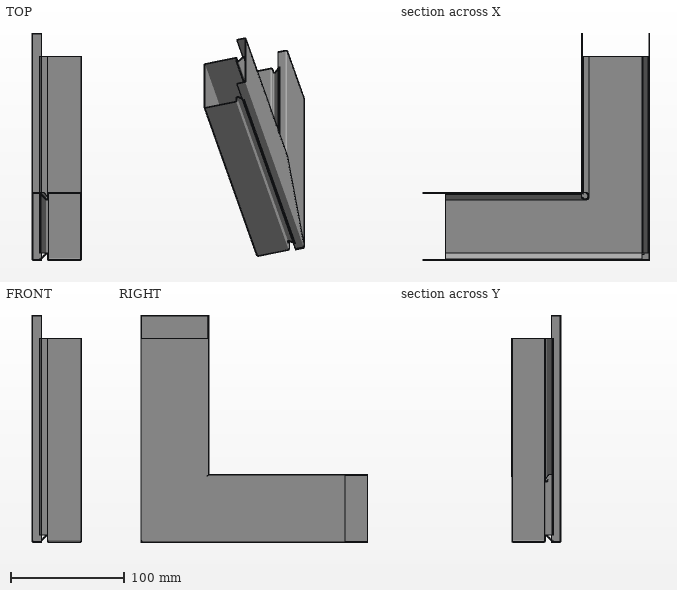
import cadquery as cq
import math

leg_length = 200.0
leg_width = 60.0
total_depth = 43.6
sheet = 0.8

cap_depth = 8.5
cap_bend = 1.6

core_length = 180.0
core_depth = 30.0
core_bend = 1.6
corner_bend = 2.5
core_front = total_depth - core_depth

wing_reach = 6.6
wing_bend = 0.6
wing_turn = math.radians(135)
tab_tip = 6.8
lip_width = wing_reach - wing_bend - sheet

relief_front = 10.6
relief_length = 3.8


def l_prism(x_start, x_end, inset, length):
    """L-shaped block whose long sides are moved inward by inset."""
    low = inset
    high = leg_width - inset
    return (
        cq.Workplane("YZ", origin=(x_start, 0, 0))
        .polyline([(low, low), (length, low), (length, high), (high, high), (high, length), (low, length)])
        .close()
        .extrude(x_end - x_start)
    )


def rounded_l_prism(x_start, x_end, inset, length):
    """L-shaped block with its outer corner and all its lengthwise edges rounded."""
    block = l_prism(x_start, x_end, inset, length)
    corner = cq.selectors.NearestToPointSelector(((x_start + x_end) / 2, inset, inset))
    block = block.edges(corner).fillet(corner_bend - inset)
    return block.faces("<X or >X").edges("not(>Y or >Z)").fillet(core_bend - inset)


def rounded_bar(inset):
    """Upright cap blank with its two -X edges rounded; its +X side stays at the flange ends."""
    width = leg_width - 2 * inset
    return (
        cq.Workplane("XY", origin=(inset, inset, 0))
        .box(cap_depth - inset, width, leg_length, centered=False)
        .edges("|Z and <X")
        .fillet(cap_bend - inset)
    )


def mitred(leg):
    """Part of an upright leg above the mitre plane Y = Z."""
    upper_side = (
        cq.Workplane("YZ")
        .polyline([(0, 0), (leg_length, leg_length), (0, leg_length)])
        .close()
        .extrude(total_depth)
    )
    return leg.intersect(upper_side)


def to_other_leg(leg):
    """Mirror an upright leg across the mitre plane Y = Z."""
    return leg.mirror(cq.Vector(0, 1, -1))


def make_cap():
    """One mitred U-channel standing along +Z."""
    return mitred(rounded_bar(0).cut(rounded_bar(sheet)))


def make_channel():
    """L-shaped channel with a mouth between two lips on its -X side."""
    outside = rounded_l_prism(core_front, total_depth, 0, core_length)
    inside = rounded_l_prism(core_front + sheet, total_depth - sheet, sheet, leg_length)
    mouth = l_prism(core_front, core_front + sheet, lip_width, leg_length)
    return outside.cut(inside).cut(mouth)


def wing_profile():
    """Wing section of the upright leg on its outer side."""
    centre_x = core_front - wing_bend
    half_turn = wing_turn / 2

    def on_bend(radius, angle):
        return (centre_x + radius * math.cos(angle), lip_width + radius * math.sin(angle))

    def slope_foot(radius, height):
        bend_x, bend_y = on_bend(radius, wing_turn)
        return (bend_x - (bend_y - height), height)

    inner = wing_bend
    outer = inner + sheet
    return (
        cq.Workplane("XY")
        .moveTo(*on_bend(outer, 0))
        .threePointArc(on_bend(outer, half_turn), on_bend(outer, wing_turn))
        .lineTo(*slope_foot(outer, 2 * sheet))
        .lineTo(tab_tip, 2 * sheet)
        .lineTo(tab_tip, sheet)
        .lineTo(*slope_foot(inner, sheet))
        .lineTo(*on_bend(inner, wing_turn))
        .threePointArc(on_bend(inner, half_turn), on_bend(inner, 0))
        .close()
    )


def make_outer_wing():
    """Outer wing of the upright leg, cut square where the bend of the other leg begins."""
    return wing_profile().extrude(core_length - wing_reach).translate((0, 0, wing_reach))


def make_inner_wing():
    """Inner wing of the upright leg, with the corner relief at its lower end."""
    wing = wing_profile().extrude(core_length).mirror("XZ", (0, leg_width / 2, 0))
    relief = (
        cq.Workplane("XZ")
        .polyline(
            [
                (0, 0),
                (0, leg_width),
                (relief_front, leg_width),
                (core_front, leg_width - relief_length),
                (core_front + sheet, leg_width - wing_reach),
                (core_front + sheet, 0),
            ]
        )
        .close()
        .extrude(-leg_width)
    )
    return mitred(wing).cut(relief)


def make_core():
    core = make_channel()
    for wing in (make_outer_wing(), make_inner_wing()):
        core = core.union(wing).union(to_other_leg(wing))
    return core


upright_cap = make_cap()
level_cap = to_other_leg(upright_cap)
core = make_core()

result = cq.Compound.makeCompound([upright_cap.solids().val(), level_cap.solids().val(), core.solids().val()])